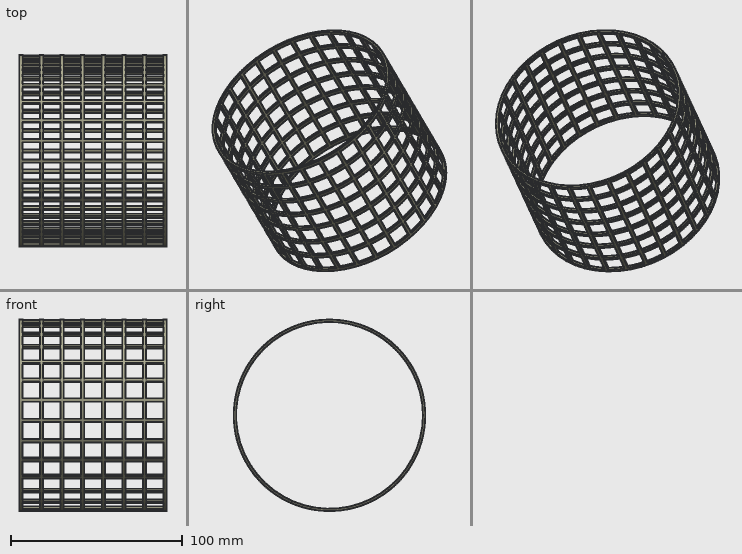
import cadquery as cq

outer_diameter = 111.75
wall = 1.5
rib_width = 2.0
cell_length = 10.0
cells_along = 7
cells_around = 29
first_bar_angle = -90

outer_radius = outer_diameter / 2
inner_radius = outer_radius - wall
axial_pitch = cell_length + rib_width
length = cells_along * axial_pitch + rib_width
x_start = -length / 2


def tube(x_from, tube_length):
    """Tube with the sleeve's wall, running along +X from x_from."""
    return (
        cq.Workplane("YZ", origin=(x_from, 0, 0))
        .circle(outer_radius)
        .circle(inner_radius)
        .extrude(tube_length)
    )


def lengthwise_bars():
    """Straight bars spread evenly around the sleeve, trimmed to the tube wall."""
    untrimmed_depth = 2 * wall
    blocks = (
        cq.Workplane("YZ", origin=(x_start, 0, 0))
        .polarArray(outer_radius - wall / 2, first_bar_angle, 360, cells_around)
        .rect(untrimmed_depth, rib_width)
        .extrude(length)
    )
    return blocks.intersect(tube(x_start, length))


def build_sleeve():
    """Lengthwise bars joined by evenly spaced hoops, with a hoop at each end."""
    sleeve = lengthwise_bars()
    for index in range(cells_along + 1):
        hoop = tube(x_start + index * axial_pitch, rib_width)
        sleeve = sleeve.union(hoop)
    return sleeve


result = build_sleeve()